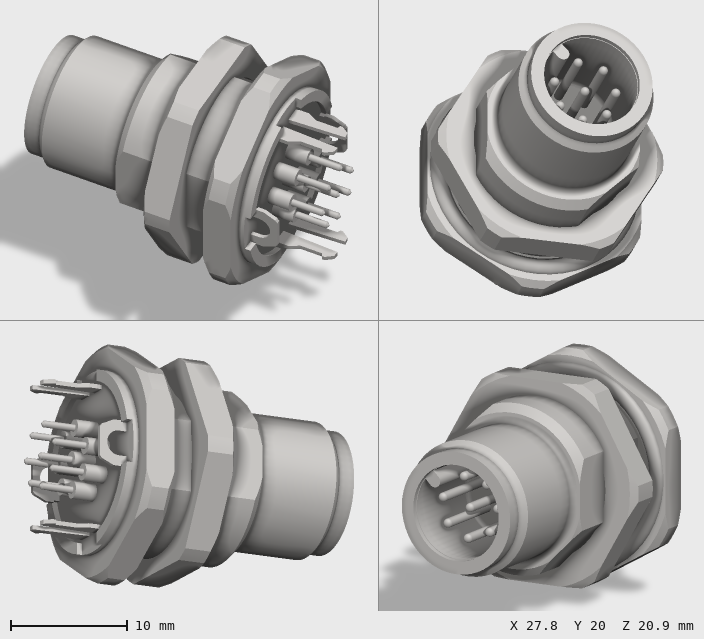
import cadquery as cq
import math


tip_diameter = 10.8
tip_end = 1.4
plug_diameter = 12.0
plug_radius = plug_diameter / 2
tip_chamfer = (plug_diameter - tip_diameter) / 2
neck_fillet = 0.48
shoulder_start = 9.48
shoulder_diameter = 13.8
barrel_diameter = 15.2
barrel_chamfer = (barrel_diameter - shoulder_diameter) / 2
barrel_radius = barrel_diameter / 2
flat_distance = 6.75
flat_angles = (0, 45, 180, 225)

flange_start = 19.29
flange_end = 21.95
flange_across_flats = 19.0
flange_corner_diameter = 20.9
flange_chamfer = 0.53

groove_inner_diameter = 15.6
groove_outer_diameter = 18.6
seal_section_diameter = (groove_outer_diameter - groove_inner_diameter) / 2
seal_center_radius = (groove_outer_diameter + groove_inner_diameter) / 4
seal_front = 18.95
seal_center = seal_front + seal_section_diameter / 2
groove_floor = seal_front + seal_section_diameter

collar_diameter = 16.0
collar_end = 22.45
rim_inner_diameter = 14.0
rim_end = 22.97
notch_width = 3.78

mouth_diameter = 8.5
mouth_depth = 0.5
socket_diameter = 8.4
socket_floor = 9.0
socket_fillet = 0.37
key_angle = 45
key_width = 1.14
key_tip_radius = 2.88

contact_count = 7
contact_circle_radius = 2.75
key_gap_angle = 65
contact_pitch_angle = (360 - key_gap_angle) / (contact_count - 1)
contact_diameter = 0.8
contact_tip = 2.0
tail_diameter = 0.6
tail_end = 27.58
tail_chamfer = 0.2
insulator_diameter = 1.5
insulator_end = 24.47

tab_thickness = 0.38
side_tab_inner = 6.29
side_tab_taper_start = 23.7
side_tab_shoulder = (24.4, 1.72)
side_tab_corner = (24.8, 1.55)
side_tab_end = 25.0
side_tab_half_width = 2.04
side_tab_end_half_width = 1.3
side_slot_radius = 1.1
side_slot_center = 23.2
prong_tab_inner = 6.05
prong_taper_start = 23.7
prong_taper_end = 24.58
prong_barb_start = 26.66
prong_barb_crest_start = 26.8
prong_barb_crest_end = 27.05
prong_barb_end = 27.74
prong_end = 27.8
prong_root_inner = 0.47
prong_root_outer = 1.96
prong_neck_outer = 1.46
prong_barb_outer = 1.77
prong_tip_outer = 1.28
prong_tip_inner = 0.72

nut_start = 13.5
nut_end = 16.3
nut_across_flats = 18.0
nut_corner_diameter = 20.0
nut_bore_diameter = 13.86
nut_face_diameter = 18.74
nut_chamfer = 0.38


def cylinder(start, end, diameter):
    """Cylinder along the connector axis."""
    return cq.Workplane("YZ", origin=(start, 0, 0)).circle(diameter / 2).extrude(end - start)


def hexagon(start, end, across_flats, turn):
    """Hexagonal prism along the axis, with corners on Y turned by the given angle."""
    corner_distance = across_flats / math.cos(math.radians(30))
    prism = cq.Workplane("YZ", origin=(start, 0, 0)).polygon(6, corner_distance).extrude(end - start)
    return prism.rotate((0, 0, 0), (1, 0, 0), turn)


def make_turned_shell():
    outline = (
        cq.Workplane("XY")
        .moveTo(0, 0)
        .lineTo(0, tip_diameter / 2)
        .lineTo(tip_end, tip_diameter / 2)
        .lineTo(tip_end + tip_chamfer, plug_radius)
        .lineTo(shoulder_start - neck_fillet, plug_radius)
        .radiusArc((shoulder_start, plug_radius + neck_fillet), -neck_fillet)
        .lineTo(shoulder_start, shoulder_diameter / 2)
        .lineTo(shoulder_start + barrel_chamfer, barrel_radius)
        .lineTo(flange_start, barrel_radius)
        .lineTo(flange_start, 0)
        .close()
    )
    return outline.revolve(360, (0, 0, 0), (1, 0, 0))


def cut_flats(shell):
    """Flatten the barrel on two opposite pairs of sides."""
    depth = barrel_diameter
    length = flange_start - shoulder_start
    for angle in flat_angles:
        block = cq.Workplane("XY").box(length, depth, 2 * depth, centered=(False, False, True))
        block = block.translate((shoulder_start, flat_distance, 0))
        shell = shell.cut(block.rotate((0, 0, 0), (1, 0, 0), angle))
    return shell


def make_flange():
    corner_cutter = cylinder(flange_start, flange_end, flange_corner_diameter).edges().chamfer(flange_chamfer)
    flange = hexagon(flange_start, flange_end, flange_across_flats, 90).intersect(corner_cutter)
    groove = cylinder(flange_start, groove_floor, groove_outer_diameter)
    groove_core = cylinder(flange_start, groove_floor, groove_inner_diameter)
    return flange.cut(groove.cut(groove_core))


def make_seal():
    section = cq.Workplane("XY").center(seal_center, seal_center_radius).circle(seal_section_diameter / 2)
    return section.revolve(360, (-seal_center, -seal_center_radius, 0), (1 - seal_center, -seal_center_radius, 0))


def make_collar():
    rim = cylinder(collar_end, rim_end, collar_diameter).cut(cylinder(collar_end, rim_end, rim_inner_diameter))
    for across_y, across_z in ((collar_diameter, notch_width), (notch_width, collar_diameter)):
        notch = cq.Workplane("YZ", origin=(collar_end, 0, 0)).rect(across_y, across_z)
        rim = rim.cut(notch.extrude(rim_end - collar_end))
    return cylinder(flange_end, collar_end, collar_diameter).union(rim)


def make_socket_cavity():
    bore = cylinder(0, socket_floor, socket_diameter).faces(">X").edges().fillet(socket_fillet)
    return bore.union(cylinder(0, mouth_depth, mouth_diameter))


def make_key():
    """Round-nosed rib along the socket wall."""
    nose_center = key_tip_radius + key_width / 2
    outer = tip_diameter / 2
    key = (
        cq.Workplane("YZ", origin=(mouth_depth, 0, 0))
        .moveTo(outer, key_width / 2)
        .lineTo(nose_center, key_width / 2)
        .threePointArc((key_tip_radius, 0), (nose_center, -key_width / 2))
        .lineTo(outer, -key_width / 2)
        .close()
        .extrude(socket_floor - mouth_depth)
    )
    return key.rotate((0, 0, 0), (1, 0, 0), key_angle)


def make_contact(y, z):
    """Domed front pin, and insulator boss with thinner rear tail, on one line."""
    dome_radius = contact_diameter / 2
    pin = cylinder(contact_tip + dome_radius, socket_floor, contact_diameter)
    dome = cq.Workplane("XY").sphere(dome_radius).translate((contact_tip + dome_radius, 0, 0))
    boss = cylinder(collar_end, insulator_end, insulator_diameter)
    tail = cylinder(insulator_end, tail_end, tail_diameter).faces(">X").chamfer(tail_chamfer)
    return [piece.translate((0, y, z)) for piece in (pin.union(dome), boss.union(tail))]


def contact_positions():
    positions = [(0, 0)]
    for index in range(contact_count):
        angle = math.radians(key_angle + key_gap_angle / 2 + index * contact_pitch_angle)
        positions.append((contact_circle_radius * math.cos(angle), contact_circle_radius * math.sin(angle)))
    return positions


def make_side_tab():
    """U-shaped tab on the +Y side."""
    half_notch = notch_width / 2
    half_outline = [
        (collar_end, half_notch),
        (rim_end, half_notch),
        (rim_end, side_tab_half_width),
        (side_tab_taper_start, side_tab_half_width),
        side_tab_shoulder,
        side_tab_corner,
        (side_tab_end, side_tab_end_half_width),
    ]
    mirrored = [(x, -z) for x, z in reversed(half_outline)]
    plane = cq.Workplane("XZ", origin=(0, side_tab_inner, 0))
    tab = plane.polyline(half_outline + mirrored).close().extrude(-tab_thickness)
    slot = (
        plane.moveTo(collar_end, side_slot_radius)
        .lineTo(side_slot_center, side_slot_radius)
        .threePointArc((side_slot_center + side_slot_radius, 0), (side_slot_center, -side_slot_radius))
        .lineTo(collar_end, -side_slot_radius)
        .close()
        .extrude(-tab_thickness)
    )
    return tab.cut(slot)


def make_prong():
    """Barbed solder prong on the +Z side, at positive Y."""
    outline = [
        (collar_end, prong_root_inner),
        (collar_end, notch_width / 2),
        (rim_end, prong_root_outer),
        (prong_taper_start, prong_root_outer),
        (prong_taper_end, prong_neck_outer),
        (prong_barb_start, prong_neck_outer),
        (prong_barb_crest_start, prong_barb_outer),
        (prong_barb_crest_end, prong_barb_outer),
        (prong_barb_end, prong_tip_outer),
        (prong_end, prong_tip_inner),
    ]
    return cq.Workplane("XY", origin=(0, 0, prong_tab_inner)).polyline(outline).close().extrude(tab_thickness)


def make_nut():
    """Hexagonal clamping nut, its bore a little wider than the barrel across the flats."""
    front_radius = nut_face_diameter / 2
    outer_radius = nut_corner_diameter / 2
    corner_cutter = (
        cq.Workplane("XY")
        .polyline([
            (nut_start, 0),
            (nut_start, front_radius),
            (nut_start + nut_chamfer, outer_radius),
            (nut_end, outer_radius),
            (nut_end, 0),
        ])
        .close()
        .revolve(360, (0, 0, 0), (1, 0, 0))
    )
    nut = hexagon(nut_start, nut_end, nut_across_flats, 0).intersect(corner_cutter)
    return nut.cut(cylinder(nut_start, nut_end, nut_bore_diameter))


def make_connector():
    """Shell with flange, clamping nut, contacts and shield tabs."""
    body = cut_flats(make_turned_shell())
    for piece in (make_flange(), make_nut(), make_collar()):
        body = body.union(piece)
    cavity = make_socket_cavity()
    body = body.cut(cavity).union(make_key().intersect(cavity))
    for y, z in contact_positions():
        for piece in make_contact(y, z):
            body = body.union(piece)
    side_tab = make_side_tab()
    prong = make_prong()
    prong_pair = prong.union(prong.mirror("XZ"))
    for turn in (0, 180):
        body = body.union(side_tab.rotate((0, 0, 0), (1, 0, 0), turn))
        body = body.union(prong_pair.rotate((0, 0, 0), (1, 0, 0), turn))
    return body


connector = make_connector()
seal = make_seal()

result = cq.Compound.makeCompound([*connector.solids().vals(), *seal.solids().vals()])